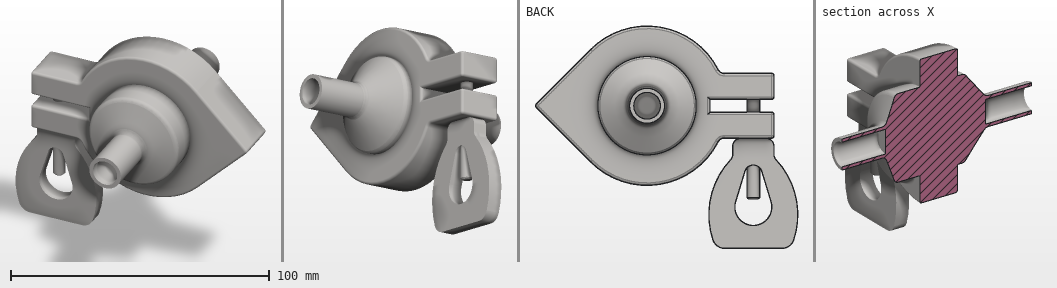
import cadquery as cq
import math


selection_margin = 0.1

clamp_width = 18.0
ring_radius = 30.8
tip_radius = 1.2
lug_end_x = -49.0
lug_half_height = 12.6
slot_half_height = 2.4
slot_end_x = -24.3
lug_root_radius = 2.5
edge_radius = 1.0

body_radius = 38.0 / 2
pipe_radius = 13.5 / 2
bore_radius = 10.3 / 2
front_end_y = -45.9
front_shoulder_y = -20.6
front_neck_y = -25.2
back_end_y = 44.1
back_shoulder_y = 12.2
back_neck_y = 22.3
body_blend_radius = 2.0

screw_x = -41.0
screw_diameter = 5.0
screw_bottom_z = -36.0
screw_chamfer = 0.6

handle_thickness = 6.1
handle_bottom_z = -55.1
handle_half_width = 17.2
handle_widest_z = -42.0
handle_side_radius = 30.9
neck_half_width = 8.0
neck_blend_radius = 3.0
handle_foot_radius = 4.9
window_top_radius = 3.3
window_top_z = -26.2
window_bottom_radius = 7.1
window_bottom_z = -39.1


def extrude_centred(sketch, width):
    """Extrude an XZ outline equally to both sides of Y = 0."""
    return sketch.extrude(width / 2, both=True)


def make_clamp():
    """Ring with a pointed nose and two slotted lugs, rounded on its edges."""
    tangent = ring_radius * math.sqrt(0.5)
    tip_x = ring_radius * math.sqrt(2)
    ring = extrude_centred(cq.Workplane("XZ").circle(ring_radius), clamp_width)
    nose_outline = (
        cq.Workplane("XZ")
        .moveTo(0, 0)
        .lineTo(tangent, -tangent)
        .lineTo(tip_x, 0)
        .lineTo(tangent, tangent)
        .close()
    )
    nose = extrude_centred(nose_outline, clamp_width).edges("|Y and >X").fillet(tip_radius)
    lugs = cq.Workplane("XY").box(
        -lug_end_x, clamp_width, 2 * lug_half_height
    ).translate((lug_end_x / 2, 0, 0))
    clamp = ring.union(lugs).union(nose)

    root_x = -math.sqrt(ring_radius**2 - lug_half_height**2)
    for root_z in (-lug_half_height, lug_half_height):
        clamp = clamp.edges(cq.NearestToPointSelector((root_x, 0, root_z))).fillet(lug_root_radius)

    slot = cq.Workplane("XY").box(
        slot_end_x - lug_end_x, clamp_width, 2 * slot_half_height
    ).translate(((slot_end_x + lug_end_x) / 2, 0, 0))
    clamp = clamp.cut(slot)
    clamp = clamp.faces("<X").edges("|Y").fillet(edge_radius)
    return clamp.faces("<Y or >Y").edges().fillet(edge_radius)


def make_pipe_body():
    """Revolved body with a conical shoulder and a bored pipe at each end."""
    body = (
        cq.Workplane("XY")
        .moveTo(0, front_end_y)
        .lineTo(pipe_radius, front_end_y)
        .lineTo(pipe_radius, front_neck_y)
        .lineTo(body_radius, front_shoulder_y)
        .lineTo(body_radius, back_shoulder_y)
        .lineTo(pipe_radius, back_neck_y)
        .lineTo(pipe_radius, back_end_y)
        .lineTo(0, back_end_y)
        .close()
        .revolve(360, (0, 0, 0), (0, 1, 0))
    )
    for radius, y in (
        (pipe_radius, front_neck_y),
        (body_radius, front_shoulder_y),
        (body_radius, back_shoulder_y),
        (pipe_radius, back_neck_y),
    ):
        reach = radius + selection_margin
        rim = cq.selectors.BoxSelector(
            (-reach, y - selection_margin, -reach),
            (reach, y + selection_margin, reach),
            boundingbox=True,
        )
        body = body.edges(rim).fillet(body_blend_radius)
    return body


def make_bore(end_y, neck_y):
    """Blind bore running from the pipe end to the neck."""
    start = min(end_y, neck_y)
    return cq.Workplane(
        cq.Solid.makeCylinder(
            bore_radius, abs(end_y - neck_y), cq.Vector(0, start, 0), cq.Vector(0, 1, 0)
        )
    )


def make_screw():
    """Screw from the upper lug, across the slot and down into the handle window."""
    return (
        cq.Workplane("XY", origin=(screw_x, 0, screw_bottom_z))
        .circle(screw_diameter / 2)
        .extrude(slot_half_height + edge_radius - screw_bottom_z)
        .faces("<Z")
        .chamfer(screw_chamfer)
    )


def make_window():
    """Teardrop: two circles joined by their common tangents."""
    lean = math.asin(
        (window_bottom_radius - window_top_radius) / (window_top_z - window_bottom_z)
    )
    top_x = window_top_radius * math.cos(lean)
    top_z = window_top_z + window_top_radius * math.sin(lean)
    bottom_x = window_bottom_radius * math.cos(lean)
    bottom_z = window_bottom_z + window_bottom_radius * math.sin(lean)
    outline = (
        cq.Workplane("XZ")
        .moveTo(-top_x, top_z)
        .threePointArc((0, window_top_z + window_top_radius), (top_x, top_z))
        .lineTo(bottom_x, bottom_z)
        .threePointArc((0, window_bottom_z - window_bottom_radius), (-bottom_x, bottom_z))
        .close()
    )
    return extrude_centred(outline, handle_thickness)


def make_handle():
    """Bulging flat wing with a narrow neck and a teardrop window."""
    side_centre_x = handle_half_width - handle_side_radius
    shoulder_z = handle_widest_z + math.sqrt(
        handle_side_radius**2 - (neck_half_width - side_centre_x) ** 2
    )
    foot_x = side_centre_x + math.sqrt(
        handle_side_radius**2 - (handle_bottom_z - handle_widest_z) ** 2
    )
    outline = (
        cq.Workplane("XZ")
        .moveTo(-neck_half_width, -lug_half_height)
        .lineTo(neck_half_width, -lug_half_height)
        .lineTo(neck_half_width, shoulder_z)
        .threePointArc((handle_half_width, handle_widest_z), (foot_x, handle_bottom_z))
        .lineTo(-foot_x, handle_bottom_z)
        .threePointArc((-handle_half_width, handle_widest_z), (-neck_half_width, shoulder_z))
        .close()
    )
    handle = extrude_centred(outline, handle_thickness)
    handle = handle.faces("<Z").edges("|Y").fillet(handle_foot_radius)
    handle = handle.edges("|Y").edges(
        cq.selectors.BoxSelector(
            (-handle_half_width, -handle_thickness, shoulder_z - selection_margin),
            (handle_half_width, handle_thickness, 0),
        )
    ).fillet(neck_blend_radius)
    return handle.cut(make_window()).translate((screw_x, 0, 0))


result = (
    make_clamp()
    .union(make_pipe_body())
    .union(make_handle())
    .union(make_screw())
    .cut(make_bore(front_end_y, front_neck_y))
    .cut(make_bore(back_end_y, back_neck_y))
)